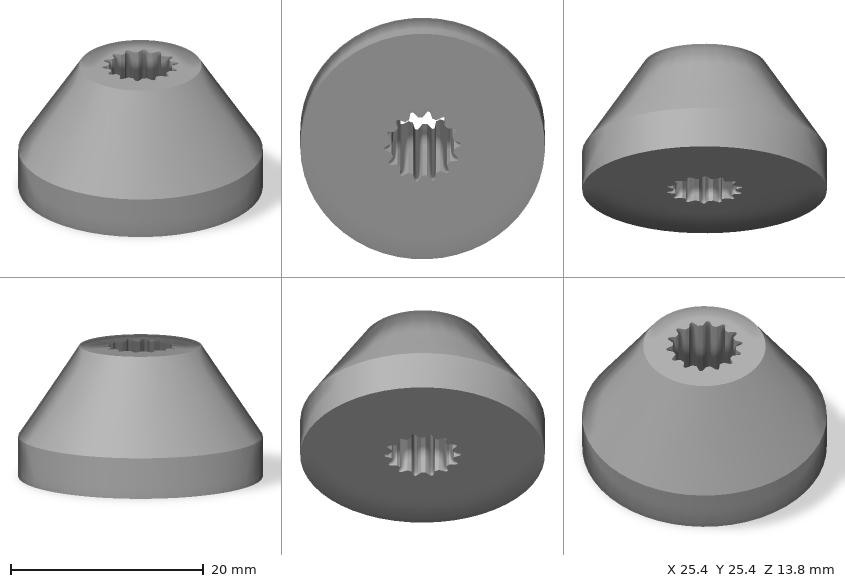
import cadquery as cq
import math

base_diameter = 25.4
top_diameter = base_diameter / 2
total_height = 13.8
cone_height = 9.525
rim_height = total_height - cone_height

groove_count = 14
bore_radius = 3.29
groove_bottom_radius = 3.975
groove_rounding_radius = 0.22
flank_angle = math.radians(27)

groove_pitch = 2 * math.pi / groove_count
rounding_center = groove_bottom_radius - groove_rounding_radius
flank_apex = rounding_center + groove_rounding_radius / math.sin(flank_angle)
tangent_x = rounding_center + groove_rounding_radius * math.sin(flank_angle)
tangent_y = groove_rounding_radius * math.cos(flank_angle)

tangent_radius = math.hypot(tangent_x, tangent_y)
tangent_half_angle = math.atan2(tangent_y, tangent_x)
mouth_half_angle = math.asin(flank_apex * math.sin(flank_angle) / bore_radius) - flank_angle


def polar_point(radius, angle):
    """Point at a radius and an angle in radians about the bore axis."""
    return (radius * math.cos(angle), radius * math.sin(angle))


def make_body():
    """Revolve half of the cross-section about Z."""
    base_radius = base_diameter / 2
    top_radius = top_diameter / 2
    half_section = (
        cq.Workplane("XZ")
        .lineTo(base_radius, 0)
        .lineTo(base_radius, rim_height)
        .lineTo(top_radius, total_height)
        .lineTo(0, total_height)
        .close()
    )
    return half_section.revolve(360, (0, 0, 0), (0, 1, 0))


def make_splined_bore():
    """Solid filling the bore, with the first groove pointing along +X."""
    outline = cq.Workplane("XY").moveTo(*polar_point(bore_radius, -mouth_half_angle))
    for index in range(groove_count):
        groove_angle = index * groove_pitch
        land_middle_angle = groove_angle + groove_pitch / 2
        next_mouth_angle = groove_angle + groove_pitch - mouth_half_angle
        outline = (
            outline
            .lineTo(*polar_point(tangent_radius, groove_angle - tangent_half_angle))
            .threePointArc(
                polar_point(groove_bottom_radius, groove_angle),
                polar_point(tangent_radius, groove_angle + tangent_half_angle),
            )
            .lineTo(*polar_point(bore_radius, groove_angle + mouth_half_angle))
            .threePointArc(
                polar_point(bore_radius, land_middle_angle),
                polar_point(bore_radius, next_mouth_angle),
            )
        )
    return outline.close().extrude(total_height)


result = make_body().cut(make_splined_bore())